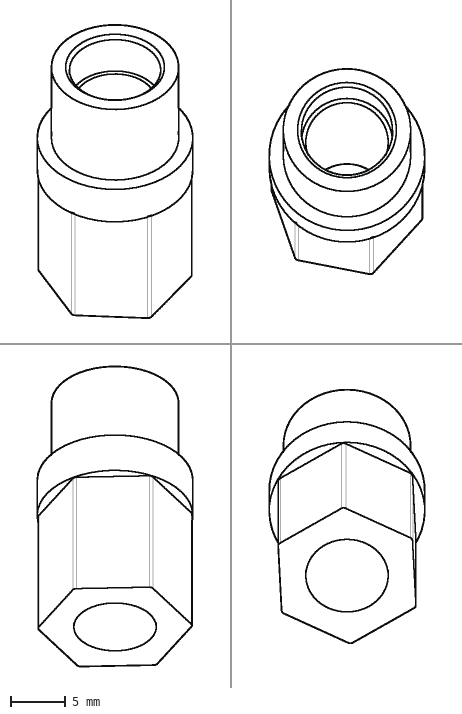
import cadquery as cq
import math

total_height = 25.3
hex_height = 12.6
collar_height = 4.0
spigot_height = total_height - hex_height - collar_height

hex_across_flats = 12.4
hex_corner_radius = 0.4
hex_tilt = -2.8
collar_diameter = 14.35
spigot_diameter = 11.73

through_diameter = 7.59
counterbore_diameter = 8.4
counterbore_depth = 4.22
mouth_chamfer = 0.35


def hex_body():
    """Hexagonal lower section with rounded vertical corners."""
    across_corners = hex_across_flats / math.cos(math.radians(30))
    hexagon = cq.Workplane("XY").polygon(6, across_corners)
    prism = hexagon.extrude(hex_height).edges("|Z").fillet(hex_corner_radius)
    return prism.rotate((0, 0, 0), (0, 0, 1), hex_tilt)


def cylinder(diameter, base_z, height):
    """Cylinder on the Z axis standing on the given level."""
    return cq.Workplane("XY").workplane(offset=base_z).circle(diameter / 2).extrude(height)


def bore():
    """Solid of revolution that is removed to open the bore."""
    through_radius = through_diameter / 2
    counterbore_radius = counterbore_diameter / 2
    step_z = total_height - counterbore_depth
    return (
        cq.Workplane("XZ")
        .lineTo(through_radius, 0)
        .lineTo(through_radius, step_z)
        .lineTo(counterbore_radius, step_z)
        .lineTo(counterbore_radius, total_height - mouth_chamfer)
        .lineTo(counterbore_radius + mouth_chamfer, total_height)
        .lineTo(0, total_height)
        .close()
        .revolve(360, (0, 0), (0, 1))
    )


collar = cylinder(collar_diameter, hex_height, collar_height)
spigot = cylinder(spigot_diameter, hex_height + collar_height, spigot_height)

result = hex_body().union(collar).union(spigot).cut(bore())